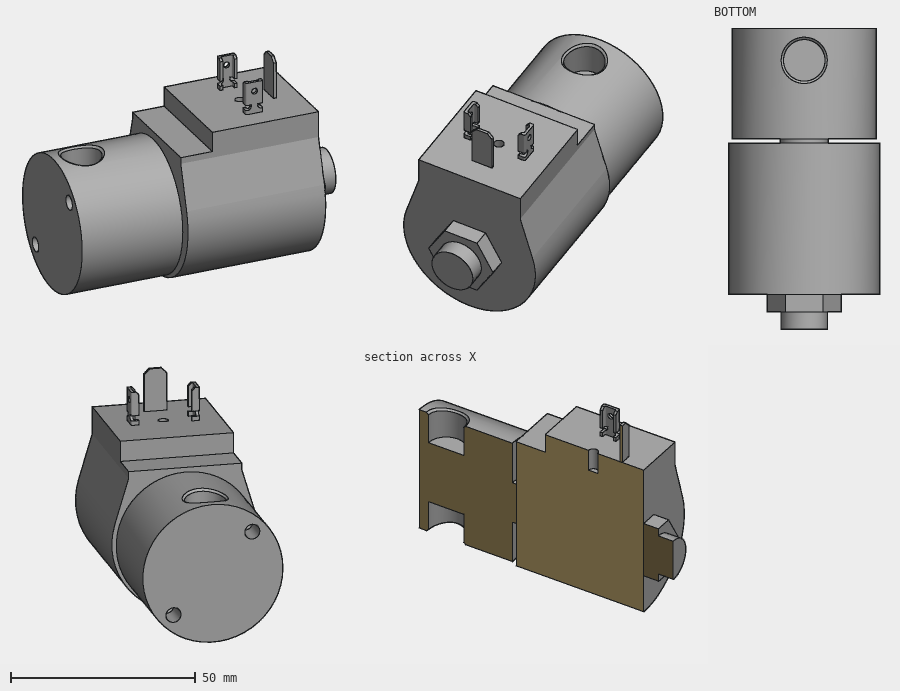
import cadquery as cq
import math


overall_height = 59.0
coil_diameter = 41.1
coil_length = 41.1
head_width = 31.7
head_top = 26.3
ledge_top = coil_diameter / 2
head_side_bottom = 18.65
connector_center_from_rear = 16.3
screw_hole_diameter = 2.8
screw_hole_depth = 6.55

valve_diameter = 39.3
valve_length = 30.0
neck_diameter = 13.2
neck_length = 1.15
port_diameter = 11.3
port_chamfer = 0.65
port_depth = 9.8
port_from_front = 8.7
mount_hole_diameter = 4.2
mount_hole_depth = 8.2
mount_hole_offset = 11.05
drill_tip_angle = 118.0

nut_across_flats = 17.4
nut_length = 4.75
nut_end_diameter = 12.8
nut_end_length = 4.75

blade_width = 6.3
blade_thickness = 0.8
blade_chamfer = 1.5
blade_from_rear = 7.3
blade_height = overall_height - coil_diameter / 2 - head_top

terminal_outer_x = 9.6
terminal_depth = 2.1
terminal_width = 5.1
terminal_height = 9.4
terminal_thickness = 0.8
terminal_outer_bend = 0.4
terminal_inner_bend = 0.3
terminal_chamfer = 0.8
terminal_hole_diameter = 1.7
terminal_hole_height = 6.6
notch_top = 2.7
notch_bottom = 1.2
notch_depth = 1.55
notch_radius = 1.1

connector_center_y = coil_length - connector_center_from_rear


def cylinder_along_y(diameter, start_y, length):
    """Cylinder on the valve axis, reaching from start_y towards +Y."""
    return cq.Workplane("XZ", origin=(0, start_y, 0)).circle(diameter / 2).extrude(-length)


def make_coil():
    radius = coil_diameter / 2
    half_head = head_width / 2

    corner_distance = math.hypot(half_head, head_side_bottom)
    corner_angle = math.atan2(head_side_bottom, half_head)
    tangent_angle = corner_angle - math.acos(radius / corner_distance)
    tangent_x = radius * math.cos(tangent_angle)
    tangent_z = radius * math.sin(tangent_angle)

    coil = (
        cq.Workplane("XZ")
        .moveTo(-half_head, head_top)
        .lineTo(half_head, head_top)
        .lineTo(half_head, head_side_bottom)
        .lineTo(tangent_x, tangent_z)
        .threePointArc((0, -radius), (-tangent_x, tangent_z))
        .lineTo(-half_head, head_side_bottom)
        .close()
        .extrude(-coil_length)
    )

    ledge_length = coil_length - head_width
    ledge_cut = cq.Workplane("XY").box(
        head_width, ledge_length, head_top - ledge_top, centered=(True, False, False)
    ).translate((0, 0, ledge_top))

    screw_hole = (
        cq.Workplane("XY", origin=(0, connector_center_y, head_top))
        .circle(screw_hole_diameter / 2)
        .extrude(-screw_hole_depth)
    )
    return coil.cut(ledge_cut).cut(screw_hole)


def cut_ports(body, front_y):
    """Cut one blind port from above and one from below, and chamfer their curved rims."""
    valve_radius = valve_diameter / 2
    port = (
        cq.Workplane("XY", origin=(0, front_y + port_from_front, valve_radius))
        .circle(port_diameter / 2)
        .extrude(-port_depth)
    )
    body = body.cut(port).cut(port.mirror("XY"))

    port_y = front_y + port_from_front
    reach = port_diameter / 2 + port_chamfer
    rim_depth = port_depth / 2
    for crown_z in (valve_radius, -valve_radius):
        rim = cq.selectors.BoxSelector(
            (-reach, port_y - reach, crown_z - rim_depth),
            (reach, port_y + reach, crown_z + rim_depth),
        )
        body = body.edges(rim).chamfer(port_chamfer)
    return body


def make_mount_hole_cutter(front_y):
    """Drilled blind hole with a conical end, entering the front face."""
    hole_radius = mount_hole_diameter / 2
    tip_length = hole_radius / math.tan(math.radians(drill_tip_angle / 2))
    return (
        cq.Workplane("XY")
        .moveTo(0, 0)
        .lineTo(hole_radius, 0)
        .lineTo(hole_radius, mount_hole_depth)
        .lineTo(0, mount_hole_depth + tip_length)
        .close()
        .revolve(360, (0, 0, 0), (0, 1, 0))
        .translate((0, front_y, 0))
    )


def make_valve_body():
    front_y = -(neck_length + valve_length)
    body = cylinder_along_y(valve_diameter, front_y, valve_length)
    body = body.union(cylinder_along_y(neck_diameter, -neck_length, neck_length))

    body = cut_ports(body, front_y)

    mount_hole = make_mount_hole_cutter(front_y)
    for side in (-1, 1):
        offset = side * mount_hole_offset
        body = body.cut(mount_hole.translate((offset, 0, offset)))
    return body


def make_nut():
    across_corners = nut_across_flats / math.cos(math.pi / 6)
    hexagon = (
        cq.Workplane("XZ", origin=(0, coil_length, 0))
        .polygon(6, across_corners)
        .extrude(-nut_length)
    )
    return hexagon.union(cylinder_along_y(nut_end_diameter, coil_length + nut_length, nut_end_length))


def make_blade():
    return (
        cq.Workplane("XY", origin=(0, coil_length - blade_from_rear, head_top))
        .box(blade_width, blade_thickness, blade_height, centered=(True, True, False))
        .edges("|Y and >Z")
        .chamfer(blade_chamfer)
    )


def make_terminal():
    """Channel terminal on the +X side: web outside, two flanges pointing inwards."""
    web_center_x = terminal_outer_x - terminal_depth / 2
    half_width = terminal_width / 2
    channel = (
        cq.Workplane("XY")
        .box(terminal_depth, terminal_width, terminal_height, centered=(True, True, False))
        .edges("|Z and >X")
        .fillet(terminal_outer_bend)
        .edges("<X and >Z")
        .chamfer(terminal_chamfer)
    )
    channel_gap = (
        cq.Workplane("XY")
        .box(
            terminal_depth,
            terminal_width - 2 * terminal_thickness,
            terminal_height,
            centered=(True, True, False),
        )
        .edges("|Z and >X")
        .fillet(terminal_inner_bend)
        .translate((-terminal_thickness, 0, 0))
    )

    web_hole = (
        cq.Workplane("YZ")
        .center(0, terminal_hole_height)
        .circle(terminal_hole_diameter / 2)
        .extrude(terminal_depth)
    )

    notch_inner_y = half_width - notch_depth
    notch = (
        cq.Workplane("YZ")
        .moveTo(half_width, notch_top)
        .lineTo(notch_inner_y, notch_top)
        .lineTo(notch_inner_y, notch_bottom + notch_radius)
        .radiusArc((notch_inner_y + notch_radius, notch_bottom), -notch_radius)
        .lineTo(half_width, notch_bottom)
        .close()
        .extrude(terminal_depth / 2, both=True)
    )
    terminal = channel.cut(channel_gap).cut(web_hole).cut(notch).cut(notch.mirror("XZ"))
    return terminal.translate((web_center_x, connector_center_y, head_top))


coil = make_coil()
valve_body = make_valve_body()
nut = make_nut()
blade = make_blade()

terminals = []
for turn in (0, 180):
    axis_start = (0, connector_center_y, 0)
    axis_end = (0, connector_center_y, 1)
    terminals.append(make_terminal().rotate(axis_start, axis_end, turn).val())

result = cq.Compound.makeCompound([coil.val(), valve_body.val(), nut.val(), blade.val(), *terminals])